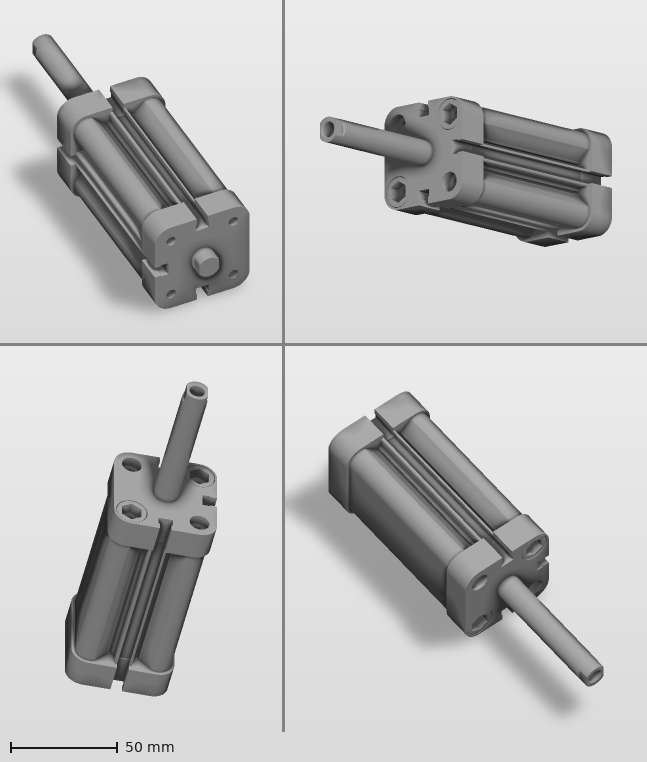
import cadquery as cq
import math


overall_length = 178.5
front_cap_start = 66.8
front_cap_length = 14.5
tube_length = 75.9
rear_cap_length = 14.0
tube_start = front_cap_start + front_cap_length
rear_cap_start = tube_start + tube_length
housing_length = front_cap_length + tube_length + rear_cap_length

cap_size = 49.5
half_cap = cap_size / 2
corner_offset = 16.2
cap_corner_radius = half_cap - corner_offset
corner_hole_diameter = 5.0
counterbore_diameter = 9.5
counterbore_depth = 5.0

slot_mouth_half = 2.9
slot_inner_half = 3.4
slot_floor = 17.7
tube_slot_inner_half = 3.5
tube_slot_floor = 17.0
slot_step = 21.5

tube_half = 23.0
tube_corner_radius = tube_half - corner_offset
recess_half = 13.7
slope_foot_half = 8.4
groove_outer_half = 7.3
groove_inner_half = 5.9
groove_foot_drop = 0.5
groove_floor_outer = 14.6
groove_floor_inner = 15.4
lip_top = 22.1
lip_outer_half = 4.3
lip_rounding = 1.0
lip_foot_fillet = 1.0
lip_shoulder = 16.5

rod_diameter = 12.1
rod_flat_width = 10.0
rod_flat_length = 5.0
rod_flat_runout = 0.7
rod_tip_chamfer = 0.5
rod_bore_diameter = 7.1
rod_bore_depth = 14.3
rod_bore_mouth_diameter = 8.2
drill_point_angle = 118.0

screw_diameter = 14.3
screw_pocket_diameter = 15.0
screw_length = 7.1
screw_sink = 0.2
socket_across_flats = 9.3
socket_depth = 5.4

screw_corners = [(-corner_offset, corner_offset), (corner_offset, -corner_offset)]
plain_corners = [(corner_offset, corner_offset), (-corner_offset, -corner_offset)]
slotted_side_turns = [0, 90, 180]


def section(x):
    """Workplane across the axis at x, with local axes +Y and +Z."""
    return cq.Workplane("YZ", origin=(x, 0, 0))


def cap(start, length):
    block = section(start).rect(cap_size, cap_size).extrude(length)
    return block.edges("|X").fillet(cap_corner_radius)


def slot_cutter():
    """T-slot on the top side, open upwards, as long as the whole housing and roomier inside the tube."""
    inner = (
        section(front_cap_start)
        .center(0, (slot_floor + slot_step) / 2)
        .rect(2 * slot_inner_half, slot_step - slot_floor)
        .extrude(housing_length)
    )
    mouth = (
        section(front_cap_start)
        .center(0, (slot_floor + cap_size) / 2)
        .rect(2 * slot_mouth_half, cap_size - slot_floor)
        .extrude(housing_length)
    )
    tube_relief = (
        section(tube_start)
        .center(0, (tube_slot_floor + slot_step) / 2)
        .rect(2 * tube_slot_inner_half, slot_step - tube_slot_floor)
        .extrude(tube_length)
    )
    return inner.union(mouth).union(tube_relief)


def recess_cutter():
    """Space between two rounded tube corners on the top side, which leaves the pair of slot lips standing."""
    corner_rise = math.sqrt(tube_corner_radius**2 - (corner_offset - recess_half) ** 2)
    recess_edge = corner_offset + corner_rise
    slope_foot = recess_edge - (recess_half - slope_foot_half)
    half_outline = [
        (slope_foot_half, slope_foot),
        (groove_outer_half, slope_foot - groove_foot_drop),
        (groove_outer_half, groove_floor_outer),
        (groove_inner_half, groove_floor_inner),
        (groove_inner_half, lip_shoulder),
        (lip_outer_half + lip_foot_fillet, lip_shoulder),
    ]
    half_space = (
        section(tube_start)
        .moveTo(0, cap_size)
        .lineTo(slope_foot_half + cap_size - slope_foot, cap_size)
        .polyline(half_outline, includeCurrent=True)
        .radiusArc((lip_outer_half, lip_shoulder + lip_foot_fillet), lip_foot_fillet)
        .lineTo(lip_outer_half, lip_top - lip_rounding)
        .radiusArc((lip_outer_half - lip_rounding, lip_top), -lip_rounding)
        .lineTo(0, lip_top)
        .close()
        .extrude(tube_length)
    )
    return half_space.union(half_space.mirror("XZ"))


def tube():
    core = section(tube_start).rect(2 * lip_top, 2 * lip_top).extrude(tube_length)
    core = core.edges("|X").fillet(lip_top - corner_offset)
    corner_posts = (
        section(tube_start)
        .rect(2 * corner_offset, 2 * corner_offset, forConstruction=True)
        .vertices()
        .circle(tube_corner_radius)
        .extrude(tube_length)
    )
    plain_wall = (
        section(tube_start).center(tube_half / 2, 0).rect(tube_half, 2 * corner_offset).extrude(tube_length)
    )
    body = core.union(corner_posts).union(plain_wall)
    recess = recess_cutter()
    for turn in slotted_side_turns:
        body = body.cut(recess.rotate((0, 0, 0), (1, 0, 0), turn))
    return body


def make_housing():
    front_cap = cap(front_cap_start, front_cap_length)
    rear_cap = cap(rear_cap_start, rear_cap_length)
    body = tube().union(front_cap).union(rear_cap)

    slot = slot_cutter()
    for turn in slotted_side_turns:
        body = body.cut(slot.rotate((0, 0, 0), (1, 0, 0), turn))

    front = section(front_cap_start)
    corner_holes = (
        front.pushPoints(screw_corners + plain_corners).circle(corner_hole_diameter / 2).extrude(housing_length)
    )
    counterbores = front.pushPoints(plain_corners).circle(counterbore_diameter / 2).extrude(counterbore_depth)
    screw_pockets = (
        front.pushPoints(screw_corners).circle(screw_pocket_diameter / 2).extrude(screw_sink + screw_length)
    )
    rod_hole = front.circle(rod_diameter / 2).extrude(housing_length)
    return body.cut(corner_holes).cut(counterbores).cut(screw_pockets).cut(rod_hole)


def make_rod():
    body = section(0).circle(rod_diameter / 2).extrude(overall_length)
    body = body.faces(">X").chamfer(rod_tip_chamfer)

    for tip, inward in [(0, 1), (overall_length, -1)]:
        flat_outline = [
            (tip, rod_flat_width / 2),
            (tip + inward * rod_flat_length, rod_flat_width / 2),
            (tip + inward * (rod_flat_length + rod_flat_runout), rod_diameter / 2),
            (tip, rod_diameter / 2),
        ]
        flat = cq.Workplane("XY").polyline(flat_outline).close().extrude(rod_diameter / 2, both=True)
        body = body.cut(flat).cut(flat.mirror("XZ"))

    bore_radius = rod_bore_diameter / 2
    mouth_radius = rod_bore_mouth_diameter / 2
    point_length = bore_radius / math.tan(math.radians(drill_point_angle / 2))
    bore = (
        cq.Workplane("XZ")
        .polyline([
            (0, 0),
            (0, mouth_radius),
            (mouth_radius - bore_radius, bore_radius),
            (rod_bore_depth, bore_radius),
            (rod_bore_depth + point_length, 0),
        ])
        .close()
        .revolve(360, (0, 0, 0), (1, 0, 0))
    )
    return body.cut(bore)


def make_screw(y, z):
    head_start = front_cap_start + screw_sink
    head = section(head_start).center(y, z)
    body = head.circle(screw_diameter / 2).extrude(screw_length)
    bore = head.circle(corner_hole_diameter / 2).extrude(screw_length)
    socket_across_corners = socket_across_flats / math.cos(math.pi / 6)
    socket = head.polygon(6, socket_across_corners).extrude(socket_depth)
    socket = socket.rotate((0, y, z), (1, y, z), 30)
    return body.cut(bore).cut(socket)


housing = make_housing()
rod = make_rod()
screws = []
for corner_y, corner_z in screw_corners:
    screws.append(make_screw(corner_y, corner_z).val())

result = cq.Compound.makeCompound([housing.val(), rod.val(), *screws])